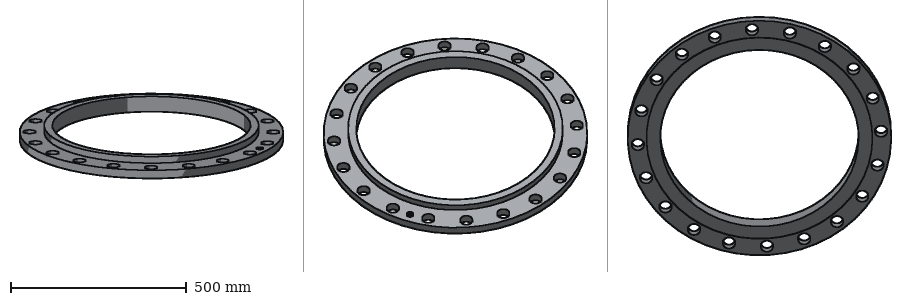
import cadquery as cq
import math

flange_diameter = 749.0
bore_diameter = 563.0
hub_diameter = 610.0
raised_face_diameter = 642.0

total_height = 46.0
raised_face_height = 1.5
flange_thickness = 25.0
flange_top = raised_face_height + flange_thickness
hub_height = total_height - flange_top

bolt_count = 20
bolt_hole_diameter = 35.0
bolt_circle_radius = 346.0

stepped_hole_angle = 180 / bolt_count
stepped_hole_diameters = (19.5, 15.0, 6.0)
stepped_hole_depths = (1.5, 3.0, 7.5)


def disc(diameter, bottom, height):
    """Upright cylinder on the ring axis."""
    return cq.Workplane("XY").workplane(offset=bottom).circle(diameter / 2).extrude(height)


def ring_body():
    """Flange with a raised face below and a hub above, bored through."""
    raised_face = disc(raised_face_diameter, 0, raised_face_height)
    flange = disc(flange_diameter, raised_face_height, flange_thickness)
    hub = disc(hub_diameter, flange_top, hub_height)
    bore = disc(bore_diameter, 0, total_height)
    return raised_face.union(flange).union(hub).cut(bore)


def bolt_holes():
    """Cylinders for the evenly spaced through holes, the first on +X."""
    return (
        cq.Workplane("XY")
        .polarArray(bolt_circle_radius, 0, 360, bolt_count)
        .circle(bolt_hole_diameter / 2)
        .extrude(total_height)
    )


def cut_stepped_hole(body):
    """Sink the concentric steps into the flange top, widest and shallowest first."""
    angle = math.radians(stepped_hole_angle)
    centre_x = bolt_circle_radius * math.cos(angle)
    centre_y = bolt_circle_radius * math.sin(angle)
    for diameter, depth in zip(stepped_hole_diameters, stepped_hole_depths):
        step = disc(diameter, flange_top - depth, depth).translate((centre_x, centre_y, 0))
        body = body.cut(step)
    return body


result = cut_stepped_hole(ring_body().cut(bolt_holes()))